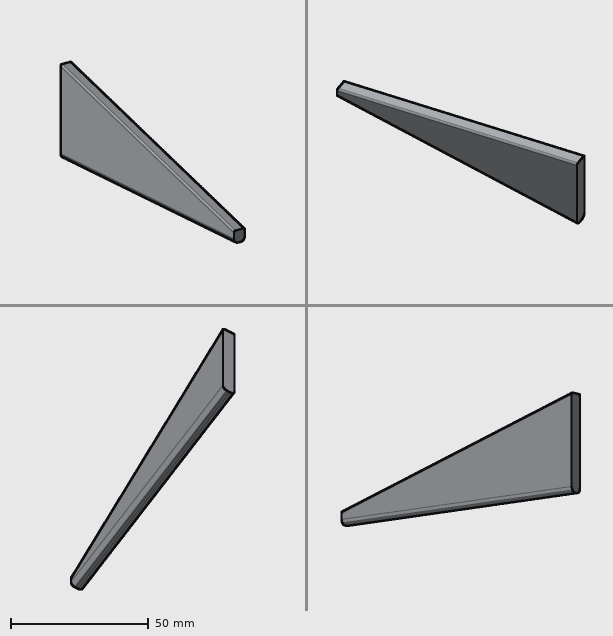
import cadquery as cq

length = 105.0
thickness = 5.0
tall_end_height = 37.0
short_end_height = 5.0

bottom_radius = 2.0
top_radius = 0.7

wedge = (
    cq.Workplane("XZ")
    .polyline([(0, 0), (length, 0), (length, short_end_height), (0, tall_end_height)])
    .close()
    .extrude(thickness / 2, both=True)
)

wedge = wedge.faces("<Z").edges("|X").fillet(bottom_radius)

slope_direction = cq.Vector(length, 0, short_end_height - tall_end_height)
slope_edges = cq.selectors.ParallelDirSelector(slope_direction)
result = wedge.edges(slope_edges).fillet(top_radius)